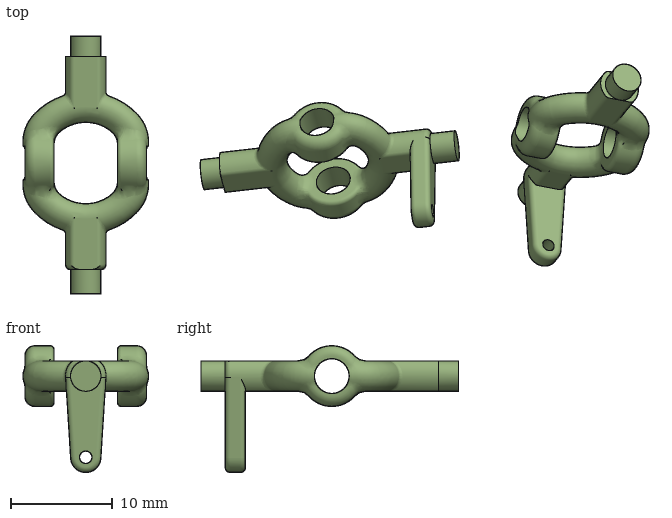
import cadquery as cq
import math

BAR_RADIUS = 1.5
RING_RADIUS = 5.5
SIDE_X = 4.7
CORNER_RADIUS = 2.5

ARM_RADIUS = 2.0
ARM_END_Y = 10.5
ARM_ROOT_FILLET = 0.4
FLAT_EDGE_ROUND = 0.5
FRONT_END_ROUND = 0.5

JOURNAL_RADIUS = 1.5
JOURNAL_BACK_Y = 12.5
JOURNAL_FRONT_Y = -12.9

LUG_RADIUS = 3.0
LUG_INNER_X = 3.12
LUG_OUTER_X = 6.0
LUG_BORE_RADIUS = 1.7
LUG_OUTER_ROUND = 1.0
LUG_INNER_ROUND = 0.4
LUG_ROOT_FILLET = 1.5

LEVER_THICKNESS = 2.0
LEVER_LENGTH = 8.0
LEVER_TIP_RADIUS = 1.5
LEVER_HOLE_RADIUS = 0.6
LEVER_ROUND = 0.5

TOLERANCE = 0.01


def cylinder_y(radius, start_y, end_y):
    """Cylinder on the Y axis from start_y to end_y."""
    return cq.Workplane("XZ", origin=(0, start_y, 0)).circle(radius).extrude(start_y - end_y)


def fillet_where(part, radius, is_wanted):
    """Round the edges of the part that satisfy a test."""
    edges = [edge for edge in part.edges().vals() if is_wanted(edge)]
    return part.newObject(edges).fillet(radius)


def make_ring():
    """Round bar swept along a closed loop of tangent arcs and straight sides."""
    bend_x = SIDE_X - CORNER_RADIUS
    bend_distance = RING_RADIUS - CORNER_RADIUS
    bend_y = math.sqrt(bend_distance**2 - bend_x**2)
    joint_x = bend_x * RING_RADIUS / bend_distance
    joint_y = bend_y * RING_RADIUS / bend_distance
    half_bend = math.atan2(bend_y, bend_x) / 2
    mid_x = bend_x + CORNER_RADIUS * math.cos(half_bend)
    mid_y = bend_y + CORNER_RADIUS * math.sin(half_bend)
    path = (
        cq.Workplane("XY")
        .moveTo(SIDE_X, -bend_y)
        .lineTo(SIDE_X, bend_y)
        .threePointArc((mid_x, mid_y), (joint_x, joint_y))
        .threePointArc((0, RING_RADIUS), (-joint_x, joint_y))
        .threePointArc((-mid_x, mid_y), (-SIDE_X, bend_y))
        .lineTo(-SIDE_X, -bend_y)
        .threePointArc((-mid_x, -mid_y), (-joint_x, -joint_y))
        .threePointArc((0, -RING_RADIUS), (joint_x, -joint_y))
        .threePointArc((mid_x, -mid_y), (SIDE_X, -bend_y))
        .close()
    )
    section = cq.Workplane("XZ", origin=(SIDE_X, -bend_y, 0)).circle(BAR_RADIUS)
    return section.sweep(path)


def is_arm_root(edge):
    """Curve where an arm's round side meets the ring."""
    box = edge.BoundingBox()
    near_arm = max(abs(box.xmin), abs(box.xmax)) < ARM_RADIUS + TOLERANCE
    reach_y = max(abs(box.ymin), abs(box.ymax))
    outside_ring = reach_y > RING_RADIUS + BAR_RADIUS / 4
    return edge.geomType() == "BSPLINE" and near_arm and outside_ring


def make_arm(start_y, end_y):
    """Round bar with rounded-off flats, trimmed to start at the ring's centreline."""
    bar = cylinder_y(ARM_RADIUS, start_y, end_y)
    slab = cq.Workplane("XY").box(2 * ARM_RADIUS, 2 * ARM_END_Y, 2 * BAR_RADIUS)
    arm = bar.intersect(slab).edges("|Y").fillet(FLAT_EDGE_ROUND)
    inside_ring = cq.Workplane("XY").circle(RING_RADIUS).extrude(ARM_RADIUS, both=True)
    return arm.cut(inside_ring)


def add_arms(part):
    """Front and back arms, blended into the ring at their round sides."""
    inner_y = RING_RADIUS - BAR_RADIUS
    part = part.union(make_arm(inner_y, ARM_END_Y))
    part = part.union(make_arm(-ARM_END_Y, -inner_y))
    return fillet_where(part, ARM_ROOT_FILLET, is_arm_root)


def round_front_arm(part):
    """Round the rim at the free end of the front arm, leaving its flats level."""
    inner_y = FRONT_END_ROUND - ARM_END_Y
    rounded = cylinder_y(ARM_RADIUS, -ARM_END_Y, inner_y + FRONT_END_ROUND)
    rounded = rounded.faces("<Y").edges().fillet(FRONT_END_ROUND)
    waste = cylinder_y(2 * ARM_RADIUS, -ARM_END_Y, inner_y).cut(rounded)
    return part.cut(waste)


def add_lug(part, side):
    """Lug on the side of the given sign, blended into the bar that runs through it."""
    lug = (
        cq.Workplane("YZ", origin=(side * LUG_INNER_X, 0, 0))
        .circle(LUG_RADIUS)
        .extrude(side * (LUG_OUTER_X - LUG_INNER_X))
    )
    outer, inner = (">X", "<X") if side > 0 else ("<X", ">X")
    lug = lug.faces(outer).edges().fillet(LUG_OUTER_ROUND)
    lug = lug.faces(inner).edges().fillet(LUG_INNER_ROUND)

    def is_lug_root(edge):
        box = edge.BoundingBox()
        near_x = min(side * box.xmin, side * box.xmax)
        far_x = max(side * box.xmin, side * box.xmax)
        at_lug = near_x > LUG_INNER_X - TOLERANCE and far_x > LUG_INNER_X + TOLERANCE
        one_side = box.ylen < LUG_ROOT_FILLET and abs(edge.Center().y) < LUG_RADIUS
        return edge.geomType() == "BSPLINE" and at_lug and one_side

    return fillet_where(part.union(lug), LUG_ROOT_FILLET, is_lug_root)


def is_lever_rim(edge):
    """Front or back outline edge of the plate, except its level top."""
    box = edge.BoundingBox()
    return box.ylen < TOLERANCE and box.zlen > TOLERANCE


def make_lever():
    """Plate whose sides are tangent to the arm and to the round tip."""
    slope = (ARM_RADIUS - LEVER_TIP_RADIUS) / LEVER_LENGTH
    spread = math.sqrt(1 - slope**2)
    top_x = ARM_RADIUS * spread
    top_z = -ARM_RADIUS * slope
    tip_x = LEVER_TIP_RADIUS * spread
    tip_z = -LEVER_LENGTH - LEVER_TIP_RADIUS * slope
    plate = (
        cq.Workplane("XZ", origin=(0, -ARM_END_Y, 0))
        .moveTo(-top_x, top_z)
        .lineTo(-tip_x, tip_z)
        .threePointArc((0, -LEVER_LENGTH - LEVER_TIP_RADIUS), (tip_x, tip_z))
        .lineTo(top_x, top_z)
        .close()
        .extrude(-LEVER_THICKNESS)
    )
    plate = fillet_where(plate, LEVER_ROUND, is_lever_rim)
    hole = (
        cq.Workplane("XZ", origin=(0, -ARM_END_Y, -LEVER_LENGTH))
        .circle(LEVER_HOLE_RADIUS)
        .extrude(-LEVER_THICKNESS)
    )
    return plate.cut(hole)


result = add_arms(make_ring())
result = round_front_arm(result)
for lug_side in (1, -1):
    result = add_lug(result, lug_side)
result = result.union(make_lever())
result = result.union(cylinder_y(JOURNAL_RADIUS, ARM_END_Y, JOURNAL_BACK_Y))
result = result.union(cylinder_y(JOURNAL_RADIUS, JOURNAL_FRONT_Y, -ARM_END_Y))

lug_bores = cq.Workplane("YZ").circle(LUG_BORE_RADIUS).extrude(2 * LUG_OUTER_X, both=True)
result = result.cut(lug_bores)